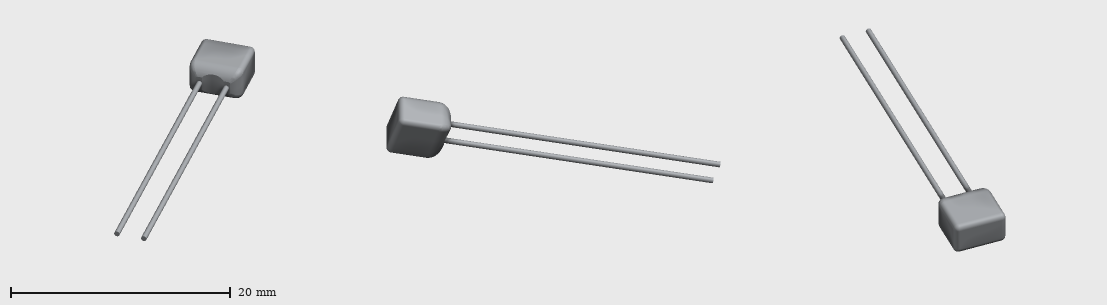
import cadquery as cq
import math

TOTAL_LENGTH = 30.48
BODY_WIDTH = 5.1
BODY_LENGTH = 5.12
BODY_HEIGHT = 3.17

EDGE_RADIUS = 0.5
NOSE_RADIUS = 1.4
NOSE_LENGTH = 1.3

HOLLOW_WIDTH = 2.07
HOLLOW_DEPTH = 0.2

LEAD_DIAMETER = 0.52
LEAD_PITCH = 2.55
LEAD_LENGTH = TOTAL_LENGTH - BODY_LENGTH

BACK_Y = TOTAL_LENGTH / 2
NOSE_Y = BACK_Y - BODY_LENGTH


def nose_outline(plane, span):
    """Draw a rectangle whose lead end is narrowed by two arcs tangent to its sides."""
    half_span = span / 2
    start_y = NOSE_Y + NOSE_LENGTH
    full_angle = math.asin(NOSE_LENGTH / NOSE_RADIUS)
    middle_y = start_y - NOSE_RADIUS * math.sin(full_angle / 2)
    middle_half = half_span - NOSE_RADIUS * (1 - math.cos(full_angle / 2))
    end_half = half_span - NOSE_RADIUS * (1 - math.cos(full_angle))
    return (
        cq.Workplane(plane)
        .moveTo(-half_span, BACK_Y)
        .lineTo(-half_span, start_y)
        .threePointArc((-middle_half, middle_y), (-end_half, NOSE_Y))
        .lineTo(end_half, NOSE_Y)
        .threePointArc((middle_half, middle_y), (half_span, start_y))
        .lineTo(half_span, BACK_Y)
        .close()
    )


def nose_hollow():
    """Make the upright cylinder that hollows the nose between the leads."""
    half_width = HOLLOW_WIDTH / 2
    radius = (half_width**2 + HOLLOW_DEPTH**2) / (2 * HOLLOW_DEPTH)
    centre_y = NOSE_Y + HOLLOW_DEPTH - radius
    return cq.Workplane("XY").center(0, centre_y).circle(radius).extrude(BODY_HEIGHT / 2, both=True)


def make_body():
    """Make the rounded body: narrowed in width and height towards the leads."""
    plan = nose_outline("XY", BODY_WIDTH).extrude(BODY_HEIGHT / 2, both=True)
    profile_plane = cq.Plane(origin=(0, 0, 0), xDir=(0, 0, 1), normal=(-1, 0, 0))
    profile = nose_outline(profile_plane, BODY_HEIGHT).extrude(BODY_WIDTH / 2, both=True)
    tapered_block = plan.intersect(profile)
    rounded = tapered_block.edges("|Y or >Y").fillet(EDGE_RADIUS)
    return rounded.cut(nose_hollow())


def make_lead(x):
    """Make one straight round lead, butted against the flat of the nose."""
    return (
        cq.Workplane("XZ", origin=(x, NOSE_Y, 0))
        .circle(LEAD_DIAMETER / 2)
        .extrude(LEAD_LENGTH)
    )


body = make_body()
leads = [make_lead(side * LEAD_PITCH / 2) for side in (-1, 1)]

result = cq.Compound.makeCompound([body.val(), *[lead.val() for lead in leads]])